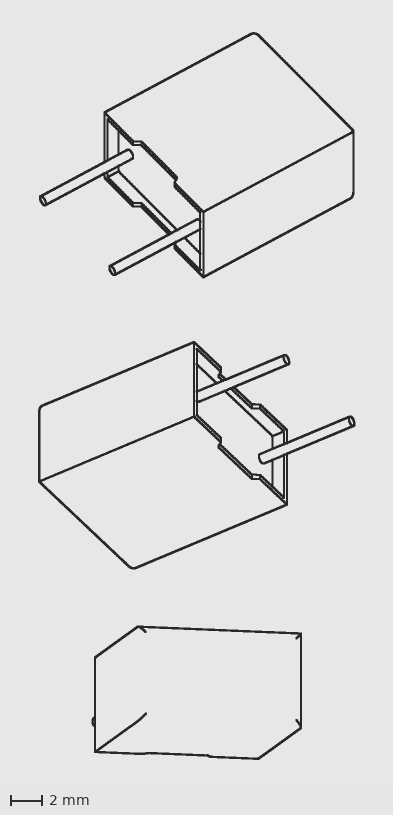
import cadquery as cq

width = 10.7
height = 6.12
overall_length = 18.1
lead_reach = 6.01
case_length = overall_length - lead_reach

wall = 0.35
end_radius = 0.5
notch_depth = 0.42
notch_mouth_width = 4.47
notch_floor_width = 3.85

fill_recess = 0.87
lead_diameter = 0.65
lead_pitch = 7.5

cavity_depth = case_length - wall
cavity_width = width - 2 * wall
cavity_height = height - 2 * wall



def block(size_x, size_z, start_y, end_y):
    """Rectangular block centred in X and Z, from start_y to end_y."""
    length = end_y - start_y
    return (
        cq.Workplane("XY")
        .box(size_x, length, size_z, centered=(True, False, True))
        .translate((0, start_y, 0))
    )


def make_rim_notch():
    """Trapezoidal cutter that relieves both broad walls at the open rim."""
    return (
        cq.Workplane("XY")
        .polyline([
            (-notch_mouth_width / 2, 0),
            (notch_mouth_width / 2, 0),
            (notch_floor_width / 2, notch_depth),
            (-notch_floor_width / 2, notch_depth),
        ])
        .close()
        .extrude(height / 2, both=True)
    )


def make_housing():
    """Open box with a rounded closed end and notched rim."""
    shell = block(width, height, 0, case_length).faces(">Y").edges().fillet(end_radius)
    cavity = block(cavity_width, cavity_height, 0, cavity_depth)
    return shell.cut(cavity).cut(make_rim_notch())


def make_filling():
    """Potting that fills the cavity up to a face set back from the rim."""
    return block(cavity_width, cavity_height, fill_recess, cavity_depth)


def make_lead(x):
    """Straight round lead from the filling face to its free end."""
    return (
        cq.Workplane("XZ", origin=(x, fill_recess, 0))
        .circle(lead_diameter / 2)
        .extrude(fill_recess + lead_reach)
    )


housing = make_housing()
filling = make_filling()
leads = [make_lead(side * lead_pitch / 2) for side in (-1, 1)]

result = cq.Compound.makeCompound(
    [housing.val(), filling.val(), *[lead.val() for lead in leads]]
)